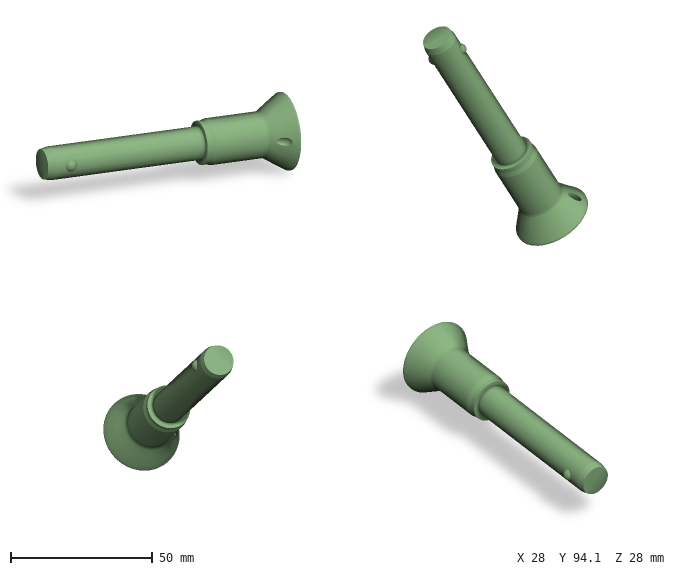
import cadquery as cq

total_length = 94.1

head_radius = 14.0
rim_thickness = 0.6
flare_end = 9.7
flare_blend_radius = 1.9

sleeve_radius = 8.4
sleeve_end = 29.8
collar_radius = 7.9
collar_taper_end = 31.7
collar_end = 33.5

pin_radius = 6.0
tip_radius = 5.5
tip_length = 2.6

ball_radius = 2.2
ball_span = 14.5
ball_distance = 85.4

lanyard_hole_diameter = 3.0
lanyard_hole_offset = 11.2


def make_turned_body():
    """Revolve the half section of head, sleeve, collar and pin about Y."""
    body = (
        cq.Workplane("XY")
        .lineTo(head_radius, 0)
        .lineTo(head_radius, -rim_thickness)
        .lineTo(sleeve_radius, -flare_end)
        .lineTo(sleeve_radius, -sleeve_end)
        .lineTo(collar_radius, -collar_taper_end)
        .lineTo(collar_radius, -collar_end)
        .lineTo(pin_radius, -collar_end)
        .lineTo(pin_radius, tip_length - total_length)
        .lineTo(tip_radius, -total_length)
        .lineTo(0, -total_length)
        .close()
        .revolve(360, (0, 0, 0), (0, 1, 0))
    )
    corner = cq.selectors.BoxSelector(
        (-head_radius, -flare_end - rim_thickness, -head_radius),
        (head_radius, -flare_end + rim_thickness, head_radius),
    )
    circles = body.edges("%CIRCLE").edges(corner)
    return circles.fillet(flare_blend_radius)


def make_locking_ball(side):
    """Ball near the pin tip, on the +X (side=1) or -X (side=-1) flank."""
    center_x = side * (ball_span / 2 - ball_radius)
    return cq.Workplane("XY").sphere(ball_radius).translate((center_x, -ball_distance, 0))


def make_lanyard_hole():
    """Hole through the flared head, parallel to the pin."""
    return (
        cq.Workplane("XZ")
        .center(lanyard_hole_offset, 0)
        .circle(lanyard_hole_diameter / 2)
        .extrude(flare_end)
    )


result = make_turned_body()
for side in (-1, 1):
    result = result.union(make_locking_ball(side))
result = result.cut(make_lanyard_hole())